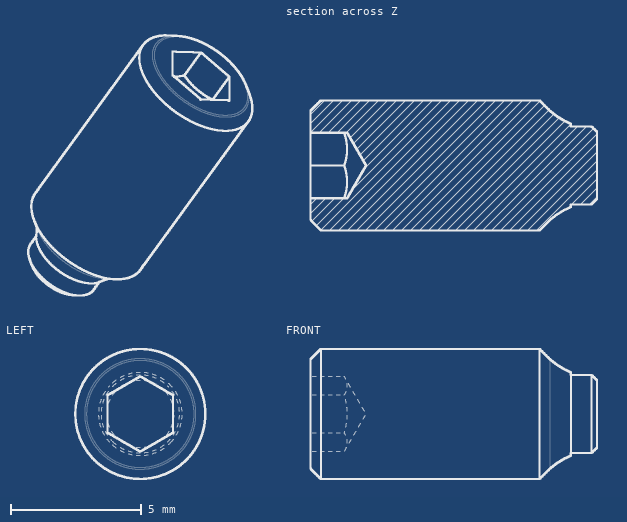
import cadquery as cq
import math


total_length = 11.0
pin_length = 0.8
pin_chamfer = 0.21
neck_length = 0.8
shoulder_chamfer = 0.4
socket_end_chamfer = 0.4
socket_end_edge_radius = 0.1

body_radius = 5.0 / 2
pin_radius = 3.0 / 2
neck_end_radius = 1.6
neck_arc_radius = 3.0

socket_sides = 6
socket_across_flats = 2.5
socket_depth = 1.3
socket_point_angle = 120.0

pin_chamfer_start = total_length - pin_chamfer
pin_start = pin_chamfer_start - pin_length
neck_start = pin_start - neck_length
body_end = neck_start - shoulder_chamfer
neck_start_radius = body_radius - shoulder_chamfer
socket_across_corners = socket_across_flats / math.cos(math.pi / socket_sides)


def make_body():
    """Turned body: chamfered cylinder, shoulder, concave neck and dog point."""
    profile = (
        cq.Workplane("XY")
        .lineTo(0, body_radius - socket_end_chamfer)
        .lineTo(socket_end_chamfer, body_radius)
        .lineTo(body_end, body_radius)
        .lineTo(neck_start, neck_start_radius)
        .radiusArc((pin_start, neck_end_radius), -neck_arc_radius)
        .lineTo(pin_start, pin_radius)
        .lineTo(pin_chamfer_start, pin_radius)
        .lineTo(total_length, pin_radius - pin_chamfer)
        .lineTo(total_length, 0)
        .close()
    )
    body = profile.revolve(360, (0, 0, 0), (1, 0, 0))
    return body.faces("<X").edges().fillet(socket_end_edge_radius)


def make_socket():
    """Hexagon socket with corners on Z, ending in a conical drill point."""
    corner_radius = socket_across_corners / 2
    point_length = corner_radius / math.tan(math.radians(socket_point_angle / 2))
    hexagon = (
        cq.Workplane("YZ")
        .transformed(rotate=(0, 0, 90))
        .polygon(socket_sides, socket_across_corners)
        .extrude(socket_depth + point_length)
    )
    pointed_bore = (
        cq.Workplane("XY")
        .lineTo(0, corner_radius)
        .lineTo(socket_depth, corner_radius)
        .lineTo(socket_depth + point_length, 0)
        .close()
        .revolve(360, (0, 0, 0), (1, 0, 0))
    )
    return hexagon.intersect(pointed_bore)


result = make_body().cut(make_socket())